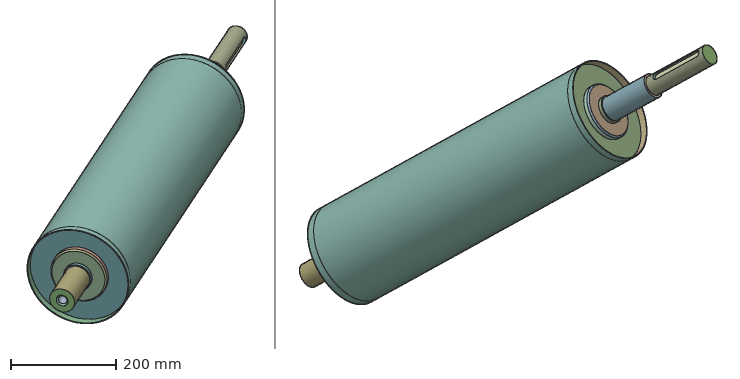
import cadquery as cq

total_length = 1060.0
front_y = -total_length / 2
back_y = total_length / 2

drum_diameter = 204.0
recess_diameter = 200.0
recess_depth = 15.0
drum_front_y = -435.0
drum_back_y = 266.0

hub_diameter = 112.0
hub_height = 12.0
hub_chamfer = 3.0
collar_diameter = 55.0
collar_projection = 4.0

shaft_diameter = 50.0
drive_diameter = 40.0
drive_length = 149.0

mouth_diameter = 23.0
thread_diameter = 17.0
core_diameter = 14.0
mouth_depth = (mouth_diameter - thread_diameter) / 2
thread_depth = 32.0
core_depth = 42.0
tip_half_angle = 60
tip_depth = 3.0

key_width = 14.0
key_depth = 5.0
key_length = 121.0
key_end_gap = 10.0


def cylinder(diameter, start_y, end_y):
    """Cylinder on the Y axis between two stations."""
    base = cq.Workplane("XZ", origin=(0, start_y, 0))
    return base.circle(diameter / 2).extrude(start_y - end_y)


def make_drum():
    drum = cylinder(drum_diameter, drum_front_y, drum_back_y)
    for face_y, inward in ((drum_front_y, 1), (drum_back_y, -1)):
        floor_y = face_y + inward * recess_depth
        hub_face_y = floor_y - inward * hub_height
        drum = drum.cut(cylinder(recess_diameter, face_y, floor_y))
        hub = cylinder(hub_diameter, floor_y, hub_face_y)
        outer_end = "<Y" if inward > 0 else ">Y"
        drum = drum.union(hub.faces(outer_end).chamfer(hub_chamfer))
    return drum


def make_shaft():
    shoulder_y = back_y - drive_length
    collar = cylinder(
        collar_diameter,
        drum_front_y - collar_projection,
        drum_back_y + collar_projection,
    )
    journal = cylinder(shaft_diameter, front_y, shoulder_y)
    drive_end = cylinder(drive_diameter, shoulder_y, back_y)
    return journal.union(collar).union(drive_end)


def make_end_hole():
    mouth = (
        cq.Workplane("XZ", origin=(0, front_y, 0))
        .circle(mouth_diameter / 2)
        .workplane(offset=-mouth_depth)
        .circle(thread_diameter / 2)
        .loft()
    )
    thread = cylinder(thread_diameter, front_y, front_y + thread_depth)
    core = cylinder(core_diameter, front_y, front_y + core_depth)
    drill_tip = (
        cq.Workplane("XZ", origin=(0, front_y + core_depth, 0))
        .circle(core_diameter / 2)
        .extrude(-tip_depth, taper=tip_half_angle)
    )
    return mouth.union(thread).union(core).union(drill_tip)


def make_keyway():
    center_y = back_y - key_end_gap - key_length / 2
    floor_x = drive_diameter / 2 - key_depth
    return (
        cq.Workplane("YZ", origin=(floor_x, center_y, 0))
        .slot2D(key_length, key_width)
        .extrude(drive_diameter / 2)
    )


result = make_drum().union(make_shaft()).cut(make_end_hole()).cut(make_keyway())